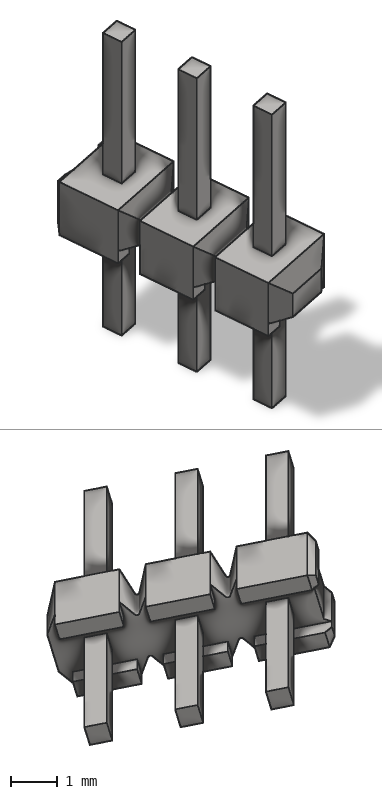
import cadquery as cq

pin_count = 3
pitch = 2.0
pin_side = 0.5
pin_height = 8.3
housing_bottom = 2.8
housing_height = 1.5
housing_depth = 2.0
block_length = 1.42
channel_width = 1.18
channel_height = 0.35
valley_depth = 0.49
valley_radius = 0.06
end_chamfer = 0.15
recess_floor_width = 0.98

housing_top = housing_bottom + housing_height
channel_top = housing_bottom + channel_height
row_length = pin_count * pitch
row_end = row_length / 2
gap_length = pitch - block_length
pin_places = [(i - (pin_count - 1) / 2) * pitch for i in range(pin_count)]
valley_places = [x + pitch / 2 for x in pin_places[:-1]]


def upright_box(x_middle, length, depth, z_min, z_max):
    """Box centred on Y and on the given X, between the given Z limits."""
    box = cq.Workplane("XY").box(length, depth, z_max - z_min, centered=(True, True, False))
    return box.translate((x_middle, 0, z_min))


def valley_cutter(cut_length):
    """Triangular bar along Z, centred on the origin, with its tip towards -Y."""
    return (
        cq.Workplane("XY", origin=(0, 0, -cut_length / 2))
        .polyline([(-gap_length / 2, 0), (gap_length / 2, 0), (0, -valley_depth)])
        .close()
        .extrude(cut_length)
    )


def cut_valley(body, x_middle, rounded):
    """Cut one valley into both sides and the top, with a rounded or sharp bottom."""
    cutter = valley_cutter(2 * housing_top)
    if rounded:
        cutter = cutter.edges("|Z and <Y").fillet(valley_radius)
    back = cutter.translate((x_middle, housing_depth / 2, 0))
    front = back.mirror("XZ")
    top = cutter.rotate((0, 0, 0), (1, 0, 0), 90).translate((x_middle, 0, housing_top))
    return body.cut(back).cut(front).cut(top)


def end_recess():
    """Flared recess that leaves a leg on each side of the -X end."""
    floor_x = -row_end + end_chamfer
    return (
        cq.Workplane("XY", origin=(0, 0, housing_bottom))
        .polyline([
            (-row_end, -channel_width / 2),
            (floor_x, -recess_floor_width / 2),
            (floor_x, recess_floor_width / 2),
            (-row_end, channel_width / 2),
        ])
        .close()
        .extrude(housing_height)
    )


housing = upright_box(0, row_length, housing_depth, housing_bottom, housing_top)
housing = housing.faces("<X").chamfer(end_chamfer).cut(end_recess())

for x in valley_places:
    housing = cut_valley(housing, x, rounded=True)
housing = cut_valley(housing, row_end, rounded=False)

for x in valley_places + [row_end]:
    housing = housing.cut(upright_box(x, gap_length, housing_depth, housing_bottom, channel_top))

result = housing.cut(upright_box(0, row_length, channel_width, housing_bottom, channel_top))

for x in pin_places:
    result = result.union(upright_box(x, pin_side, pin_side, 0, pin_height))